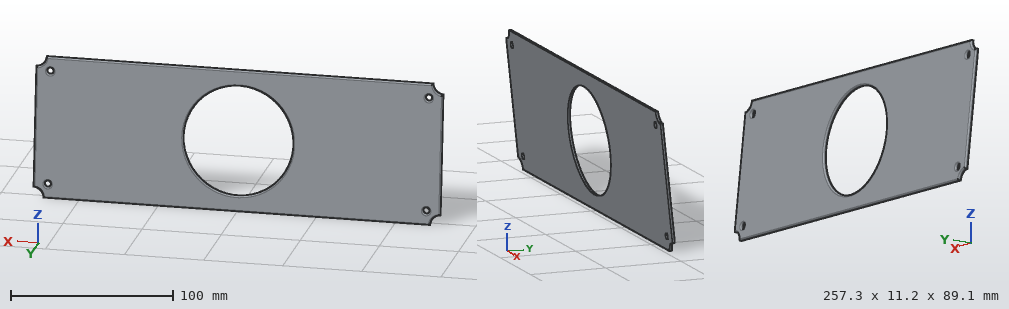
import cadquery as cq
plate_length = 257.3
plate_width = 89.5
plate_thickness = 2.0
tilt_angle = 6.0

window_diameter = 69.5
corner_notch_radius = 6.5
edge_round = 1.0
screw_hole_mouth_diameter = 6.0
screw_hole_diameter = screw_hole_mouth_diameter - 2 * edge_round
screw_hole_inset = 9.0


def corner_points(inset):
    """Four points set in by the same distance from both edges of each corner."""
    x = plate_length / 2 - inset
    z = plate_width / 2 - inset
    return [(side * x, end * z) for side in (-1, 1) for end in (-1, 1)]


def through_cylinders(points, diameter):
    """Cutters that pass fully through the upright plate, along Y."""
    return (
        cq.Workplane("XZ", origin=(0, plate_thickness, 0))
        .pushPoints(points)
        .circle(diameter / 2)
        .extrude(2 * plate_thickness)
    )


plate = cq.Workplane("XY").box(plate_length, plate_thickness, plate_width)

plate = plate.cut(through_cylinders([(0, 0)], window_diameter))

plate = plate.cut(through_cylinders(corner_points(0), 2 * corner_notch_radius))

plate = plate.cut(through_cylinders(corner_points(screw_hole_inset), screw_hole_diameter))

plate = plate.faces(">Y").edges().fillet(edge_round)

result = plate.rotate((0, 0, 0), (1, 0, 0), tilt_angle)